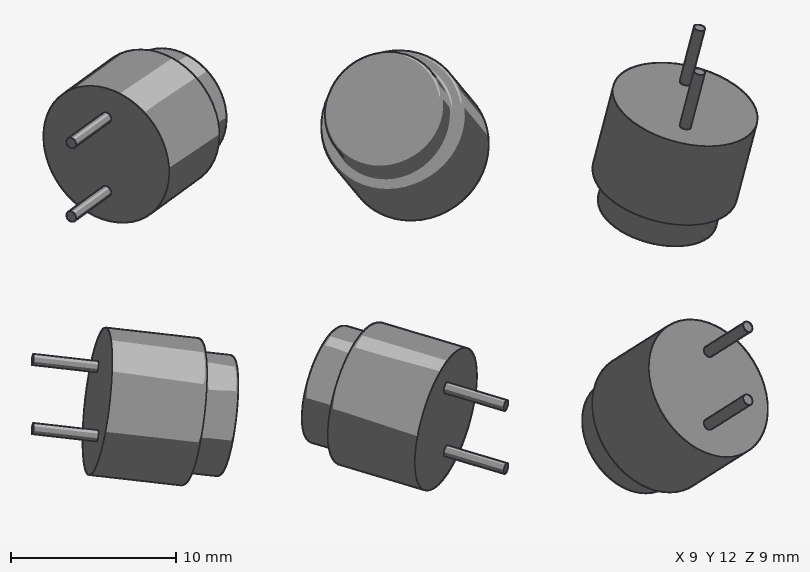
import cadquery as cq

total_length = 12.0
pin_length = 4.0
pin_diameter = 0.7
pin_spacing = 5.0

body_diameter = 9.0
cap_diameter = 7.4
cap_height = 2.1
edge_radius = 0.25

shell_length = total_length - pin_length
body_length = shell_length - cap_height


def cylinder_along_y(diameter, start_y, end_y, z=0.0):
    """Solid cylinder parallel to Y, spanning start_y to end_y at height z."""
    length = end_y - start_y
    return cq.Workplane(
        cq.Solid.makeCylinder(diameter / 2, length, cq.Vector(0, start_y, z), cq.Vector(0, 1, 0))
    )


def make_shell():
    """Body and narrower cap, with a rounded cap rim, shoulder and inner corner."""
    body = cylinder_along_y(body_diameter, 0, body_length)
    cap = cylinder_along_y(cap_diameter, 0, shell_length)
    return body.union(cap).edges("%CIRCLE").edges("not <Y").fillet(edge_radius)


result = make_shell()

for pin_z in (-pin_spacing / 2, pin_spacing / 2):
    result = result.union(cylinder_along_y(pin_diameter, -pin_length, body_length / 2, pin_z))